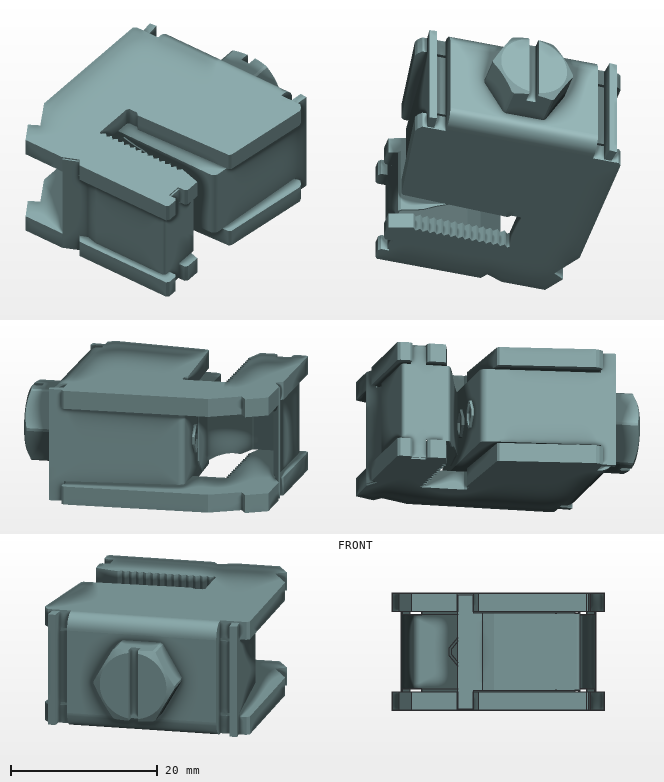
import cadquery as cq
import math


overall_z = 16.0
sheet = 2.52
plate_outer_z = overall_z / 2
plate_inner_z = plate_outer_z - sheet
axis_x = 14.5
shoulder_y = 28.5
web_top_y = 30.97
web_width = 20.95
web_bend_radius = 2.15
throat_x = 9.83

tooth_count = 14
first_tooth_x = 10.62
last_tooth_x = 23.6
tooth_tip_y = 7.7
tooth_root_y = 7.15
tooth_pitch = (last_tooth_x - first_tooth_x) / (tooth_count - 1)

notch_x = 25.45
notch_low_y = 2.12
notch_high_y = 4.25
nose_x = 26.85
nose_bevel_x = 0.32
nose_bevel_y = 0.35

block_bottom_y = 11.92
block_top_y = web_top_y - sheet
block_half_z = 5.08
block_bottom_half_x = 11.45
wall_slope = 0.1
block_fillet = 0.9
ear_bottom_y = 28.35
ear_top_y = 30.43
ear_thickness = 1.05
ear_half_z = 7.8

rim_count = 3
rim_pitch = 5.5
first_rim_x = 9.25
rim_half_x = 1.48
rim_half_z = 1.9
rim_flat_half_x = 0.32
rim_flat_half_z = 0.5
rim_wall = 0.35
rim_height = 0.35

hex_flats = 10.0
hex_turn = 30
hex_corner_diameter = 11.35
head_top_y = 35.9
head_face_radius = 4.68
head_bevel_angle = math.radians(30)
slot_width = 1.35
slot_depth = 1.6

clip_thickness = 0.2
clip_half_z = 5.25
tongue_half_z = 7.78
tongue_end_x = 11.1
tongue_low = (9.07, 0.0)
tongue_high = (12.3, 1.4)
clip_floor_x = 13.97
clip_floor_y = 0.97
clip_wall_x = notch_x + clip_thickness / 2
clip_wall_top_y = 7.4
clip_bend = 0.35
leaf_top_x = 25.3
leaf_top_y = 7.65
leaf_y = 11.3
leaf_kink_x = 14.3
leaf_end_x = 9.07
leaf_end_half_z = 3.15
leaf_wide_half_z = 5.08
leaf_wide_x = 11.0
waist_x = 16.55
waist_half_z = 4.2
waist_end_x = 22.5


def prism_z(points, low_z, high_z):
    """Extrude a closed XY outline between two Z levels."""
    return cq.Workplane("XY").workplane(offset=low_z).polyline(points).close().extrude(high_z - low_z)


def box(x_range, y_range, half_z):
    """Box that is symmetric about Z = 0."""
    size_x = x_range[1] - x_range[0]
    size_y = y_range[1] - y_range[0]
    return cq.Workplane("XY").box(size_x, size_y, 2 * half_z).translate(
        (sum(x_range) / 2, sum(y_range) / 2, 0)
    )


def tooth_points():
    """Zigzag of the lower jaw, from the throat to the last tip."""
    points = []
    for i in range(tooth_count):
        tip_x = first_tooth_x + i * tooth_pitch
        points.append((tip_x - tooth_pitch / 2, tooth_root_y))
        points.append((tip_x, tooth_tip_y))
    return points


def hook_plate_outline():
    upper_jaw = [
        (0, 28.1),
        (0.4, shoulder_y),
        (28.25, shoulder_y),
        (28.77, 27.87),
        (29.0, 27.33),
        (27.1, 14.22),
        (26.83, 13.95),
        (11.8, 13.35),
        (11.38, 13.8),
        (10.12, 13.8),
        (throat_x, 13.45),
        (throat_x, 7.4),
    ]
    lower_nose = [
        (nose_x, 6.75),
        (nose_x, notch_high_y + nose_bevel_y),
        (nose_x - nose_bevel_x, notch_high_y),
        (notch_x, notch_high_y),
        (notch_x, notch_low_y),
        (nose_x - nose_bevel_x, notch_low_y),
        (nose_x, notch_low_y - nose_bevel_y),
        (nose_x, nose_bevel_y),
        (nose_x - nose_bevel_x, 0),
    ]
    foot = [
        (11.8, 0),
        (11.13, 1.0),
        (8.85, 0),
        (2.65, 0),
        (0.95, 2.85),
        (2.4, 3.7),
        (0, 7.8),
    ]
    return upper_jaw + tooth_points() + lower_nose + foot


def strap():
    """Both hook plates and the web that is folded across between them."""
    outline = hook_plate_outline()
    front = prism_z(outline, plate_inner_z, plate_outer_z)
    back = prism_z(outline, -plate_outer_z, -plate_inner_z)
    web_x = (axis_x - web_width / 2, axis_x + web_width / 2)
    web = box(web_x, (web_top_y - sheet, web_top_y), plate_outer_z)
    web = web.edges("|X and >Y").fillet(web_bend_radius)
    return front.union(back).union(web)


def block_half_x(y):
    """Half length of the wedge block at height y."""
    return block_bottom_half_x + wall_slope * (y - block_bottom_y)


def wedge_block():
    low = block_half_x(block_bottom_y)
    high = block_half_x(block_top_y)
    outline = [
        (axis_x - low, block_bottom_y),
        (axis_x + low, block_bottom_y),
        (axis_x + high, block_top_y),
        (axis_x - high, block_top_y),
    ]
    block = prism_z(outline, -block_half_z, block_half_z)
    block = block.edges("|Z and <Y").fillet(block_fillet)
    for side in (-1, 1):
        ear_low = block_half_x(ear_bottom_y)
        ear_high = block_half_x(ear_top_y)
        ear = [
            (axis_x + side * ear_low, ear_bottom_y),
            (axis_x + side * ear_high, ear_top_y),
            (axis_x + side * (ear_high - ear_thickness), ear_top_y + wall_slope * ear_thickness),
            (axis_x + side * (ear_low - ear_thickness), ear_bottom_y),
        ]
        block = block.union(prism_z(ear, -ear_half_z, ear_half_z))
    for i in range(rim_count):
        block = block.union(raised_rim(first_rim_x + i * rim_pitch))
    return block


def raised_rim(center_x):
    """Eight-sided rim that stands out below the wedge block."""
    corners = [
        (rim_half_x, rim_flat_half_z),
        (rim_flat_half_x, rim_half_z),
        (-rim_flat_half_x, rim_half_z),
        (-rim_half_x, rim_flat_half_z),
        (-rim_half_x, -rim_flat_half_z),
        (-rim_flat_half_x, -rim_half_z),
        (rim_flat_half_x, -rim_half_z),
        (rim_half_x, -rim_flat_half_z),
    ]
    base = cq.Workplane("XZ", origin=(center_x, block_bottom_y, 0))
    outer = base.polyline(corners).close().extrude(rim_height)
    inner = base.polyline(corners).close().offset2D(-rim_wall).extrude(rim_height)
    return outer.cut(inner)


def screw_head():
    height = head_top_y - web_top_y
    hexagon = (
        cq.Workplane("XZ", origin=(axis_x, head_top_y, 0))
        .transformed(rotate=(0, 0, hex_turn))
        .polygon(6, hex_flats, circumscribed=True)
        .extrude(height)
    )
    corner_radius = hex_corner_diameter / 2
    bevel_drop = (corner_radius - head_face_radius) * math.tan(head_bevel_angle)
    turned = (
        cq.Workplane("XY")
        .polyline([
            (0, web_top_y),
            (corner_radius, web_top_y),
            (corner_radius, head_top_y - bevel_drop),
            (head_face_radius, head_top_y),
            (0, head_top_y),
        ])
        .close()
        .revolve(360, (0, 0, 0), (0, 1, 0))
        .translate((axis_x, 0, 0))
    )
    slot_x = (axis_x - slot_width / 2, axis_x + slot_width / 2)
    slot = box(slot_x, (head_top_y - slot_depth, head_top_y), hex_corner_diameter)
    return hexagon.intersect(turned).cut(slot)


def thicken(centreline, half_z):
    """Thin sheet around an open centreline in XY, symmetric about Z = 0."""
    return centreline.offset2D(clip_thickness / 2).extrude(half_z, both=True)


def spring_leaf():
    """Leaf that leans back from the clip wall, waisted and tapered at its free end."""
    centreline = (
        cq.Workplane("XY")
        .moveTo(leaf_end_x + clip_thickness / 2, leaf_y)
        .lineTo(leaf_kink_x, leaf_y)
        .lineTo(leaf_top_x, leaf_top_y)
        .lineTo(clip_wall_x, clip_wall_top_y)
    )
    leaf = thicken(centreline, clip_half_z)
    plan = (
        cq.Workplane("XZ")
        .moveTo(leaf_end_x, -leaf_end_half_z)
        .lineTo(leaf_wide_x, -leaf_wide_half_z)
        .threePointArc((waist_x, -waist_half_z), (waist_end_x, -clip_half_z))
        .lineTo(nose_x, -clip_half_z)
        .lineTo(nose_x, clip_half_z)
        .lineTo(waist_end_x, clip_half_z)
        .threePointArc((waist_x, waist_half_z), (leaf_wide_x, leaf_wide_half_z))
        .lineTo(leaf_end_x, leaf_end_half_z)
        .close()
        .extrude(-shoulder_y)
    )
    return leaf.intersect(plan)


def spring_clip():
    bend_middle = clip_bend * (1 - math.sqrt(0.5))
    centreline = (
        cq.Workplane("XY")
        .polyline([tongue_low, tongue_high, (clip_floor_x, clip_floor_y)])
        .lineTo(clip_wall_x - clip_bend, clip_floor_y)
        .threePointArc(
            (clip_wall_x - bend_middle, clip_floor_y + bend_middle),
            (clip_wall_x, clip_floor_y + clip_bend),
        )
        .lineTo(clip_wall_x, clip_wall_top_y)
    )
    y_extent = (-shoulder_y, shoulder_y)
    narrow_zone = box((0, nose_x), y_extent, clip_half_z)
    tongue_zone = box((0, tongue_end_x), y_extent, tongue_half_z)
    base = thicken(centreline, tongue_half_z).intersect(narrow_zone.union(tongue_zone))
    tabs = box((notch_x, notch_x + clip_thickness), (notch_low_y, notch_high_y), tongue_half_z)
    return base.union(tabs).union(spring_leaf())


result = strap().union(wedge_block()).union(screw_head()).union(spring_clip())